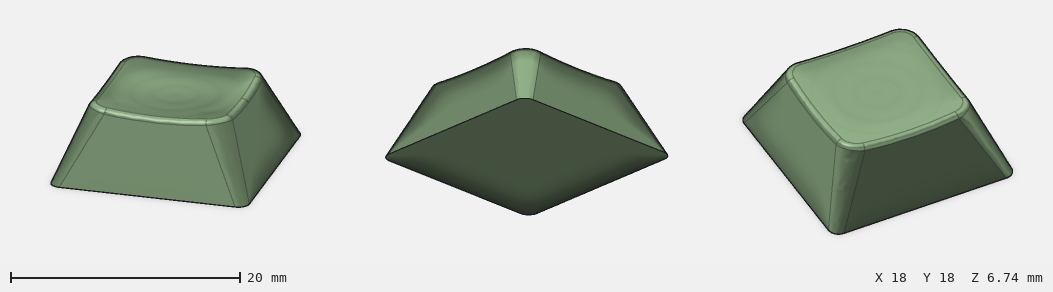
import cadquery as cq

base_width = 18.0
base_corner_radius = 1.0
blank_height = 7.2
top_width = 12.31
top_corner_radius = 2.0
dish_radius = 42.0
dish_floor_height = 6.01
rim_fillet_radius = 0.6


def rounded_square(width, corner_radius, height):
    """Closed outline of a square with round corners, centred on Z at the given height."""
    return (
        cq.Sketch()
        .rect(width, width)
        .vertices()
        .fillet(corner_radius)
        .moved(cq.Location(cq.Vector(0, 0, height)))
    )


def tapered_blank():
    """Solid body with four sloped sides and corners that widen towards the top."""
    return cq.Workplane("XY").placeSketch(
        rounded_square(base_width, base_corner_radius, 0),
        rounded_square(top_width, top_corner_radius, blank_height),
    ).loft()


def dish_cutter():
    """Sphere whose lowest point sits at the floor of the finger dish."""
    centre_height = dish_floor_height + dish_radius
    return cq.Workplane("XY").workplane(offset=centre_height).sphere(dish_radius)


def rim_edges(body):
    """Edges around the dish: those on the spherical face."""
    return body.faces("%SPHERE").edges()


dished_body = tapered_blank().cut(dish_cutter())
result = rim_edges(dished_body).fillet(rim_fillet_radius)